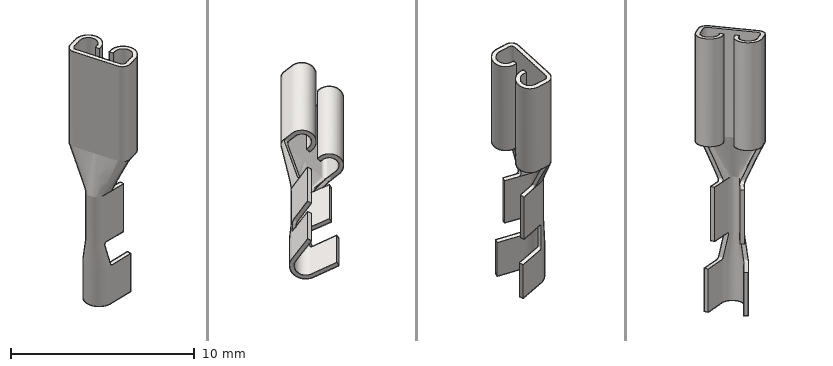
import cadquery as cq
import math

sheet = 0.26

total_height = 16.13
receptacle_bottom = 9.79
wire_top = 7.27
wire_bottom = 4.08
insulation_top = 2.55

half_width = 1.87
back_y = 0.52
front_y = 2.4
corner_radius = 0.48
curl_radius = 0.782
curl_tip_y = 1.47

wire_radius = 0.58
wire_lean = 15.0
wire_tip_y = 1.92
insulation_radius = 0.89
insulation_lean = 14.0
insulation_tip_y = 2.21

upper_edge_y = 1.0
lower_edge_y_top = 0.45
lower_edge_y_bottom = 0.68
window_fillet = 0.2
lower_fillet = 0.13
neck_margin = 0.32
strip_half_width = 0.15
bend_end_angle = 60.0
strip_angle = 28.0


def trace(outline, chain):
    """Add (kind, points) edges; an arc has a middle point and an end point."""
    for kind, points in chain:
        if kind == "arc":
            outline = outline.threePointArc(*points)
        else:
            outline = outline.lineTo(*points)
    return outline


def on_circle(radius, center, angle):
    """Point on a circle, with the angle measured from its lowest point."""
    a = math.radians(angle)
    return (center[0] + radius * math.sin(a), center[1] - radius * math.cos(a))


def arc(radius, center, start, end):
    middle = on_circle(radius, center, (start + end) / 2)
    return ("arc", (middle, on_circle(radius, center, end)))


def barrel_section(work, radius, lean, tip_y):
    """U-shaped section; back arcs are split to pair with the edges of the receptacle."""
    center = (0, radius)
    inner_radius = radius - sheet
    slope = math.radians(lean)
    wing_start = on_circle(radius, center, 90 - lean)
    outer_tip = (wing_start[0] + (tip_y - wing_start[1]) * math.tan(slope), tip_y)
    inner_tip = (outer_tip[0] - sheet * math.cos(slope), tip_y + sheet * math.sin(slope))
    half = [0, strip_angle, bend_end_angle, 90 - lean]
    angles = [-a for a in reversed(half)] + half[1:]
    spans = list(zip(angles, angles[1:]))
    outer = [arc(radius, center, a, b) for a, b in spans]
    inner = [arc(inner_radius, center, b, a) for a, b in reversed(spans)]
    outline = work.moveTo(-outer_tip[0], outer_tip[1]).lineTo(-wing_start[0], wing_start[1])
    outline = trace(outline, outer).lineTo(*outer_tip).lineTo(*inner_tip)
    outline = outline.lineTo(*on_circle(inner_radius, center, 90 - lean))
    return trace(outline, inner).lineTo(-inner_tip[0], inner_tip[1]).close()


def receptacle_root_section(work, tip_y):
    """Lower part of the receptacle section, with the same edges as a barrel section."""
    def face_edges(offset):
        radius = corner_radius - offset
        center_x = half_width - corner_radius
        center_y = back_y + corner_radius
        flat = [-strip_half_width, 0, strip_half_width, center_x]
        edges = [arc(radius, (-center_x, center_y), -90, 0)]
        edges += [("line", (x, back_y + offset)) for x in flat]
        return edges + [arc(radius, (center_x, center_y), 0, 90)]

    def reversed_edges(edges, start):
        """The same edges run from right to left."""
        starts = [start] + [points[-1] if kind == "arc" else points for kind, points in edges]
        flipped = []
        for (kind, points), begin in zip(reversed(edges), reversed(starts[:-1])):
            flipped.append((kind, (points[0], begin) if kind == "arc" else begin))
        return flipped

    bend_y = back_y + corner_radius
    inner_x = half_width - sheet
    outline = work.moveTo(-half_width, tip_y).lineTo(-half_width, bend_y)
    outline = trace(outline, face_edges(0)).lineTo(half_width, tip_y).lineTo(inner_x, tip_y)
    outline = outline.lineTo(inner_x, bend_y)
    outline = trace(outline, reversed_edges(face_edges(sheet), (-inner_x, bend_y)))
    return outline.lineTo(-inner_x, tip_y).close()


def receptacle():
    """Flat back, rounded corners, and side walls curled inward at the front."""
    curl_x = half_width - curl_radius
    curl_y = front_y - curl_radius
    inner_x = half_width - sheet
    inner_curl = curl_radius - sheet
    corner = (half_width - corner_radius, back_y + corner_radius)
    inner_corner = corner_radius - sheet
    right_half = [
        ("line", (corner[0], back_y)),
        arc(corner_radius, corner, 0, 90),
        ("line", (half_width, curl_y)),
        arc(curl_radius, (curl_x, curl_y), 90, 270),
        ("line", (curl_x - curl_radius, curl_tip_y)),
        ("line", (curl_x - inner_curl, curl_tip_y)),
        ("line", (curl_x - inner_curl, curl_y)),
        arc(inner_curl, (curl_x, curl_y), 270, 90),
        ("line", (inner_x, corner[1])),
        arc(inner_corner, corner, 90, 0),
        ("line", (0, back_y + sheet)),
    ]
    work = cq.Workplane("XY").workplane(offset=receptacle_bottom).moveTo(0, back_y)
    half = trace(work, right_half).close().extrude(total_height - receptacle_bottom)
    return half.union(half.mirror("YZ"))


def barrel(radius, lean, tip_y, bottom, top):
    work = cq.Workplane("XY").workplane(offset=bottom)
    return barrel_section(work, radius, lean, tip_y).extrude(top - bottom)


def edge_trim(bottom, top, edge_y_bottom, edge_y_top, fillet):
    """Cutter that shapes the free edges of a neck, with rounded ends."""
    corners = [(edge_y_bottom, bottom), (edge_y_top, top), (front_y, top), (front_y, bottom)]
    block = cq.Workplane("YZ").polyline(corners).close().extrude(half_width, both=True)
    middle_y = (max(edge_y_bottom, edge_y_top) + front_y) / 2
    free_edge_box = ((-half_width, 0, 0), (half_width, middle_y, total_height))
    return block.edges("|X").edges(cq.selectors.BoxSelector(*free_edge_box)).fillet(fillet)


def upper_neck():
    tip_y = upper_edge_y + neck_margin
    base = cq.Workplane("XY").workplane(offset=wire_top)
    base = barrel_section(base, wire_radius, wire_lean, tip_y)
    both_ends = base.workplane(offset=receptacle_bottom - wire_top)
    neck = receptacle_root_section(both_ends, tip_y).loft(ruled=True)
    return neck.cut(edge_trim(wire_top, receptacle_bottom, upper_edge_y, upper_edge_y, window_fillet))


def lower_neck():
    base = cq.Workplane("XY").workplane(offset=insulation_top)
    base = barrel_section(base, insulation_radius, insulation_lean, lower_edge_y_bottom + neck_margin)
    both_ends = base.workplane(offset=wire_bottom - insulation_top)
    neck = barrel_section(both_ends, wire_radius, wire_lean, lower_edge_y_top + neck_margin)
    neck = neck.loft(ruled=True)
    trim = edge_trim(insulation_top, wire_bottom, lower_edge_y_bottom, lower_edge_y_top, lower_fillet)
    return neck.cut(trim)


result = (
    receptacle()
    .union(upper_neck())
    .union(barrel(wire_radius, wire_lean, wire_tip_y, wire_bottom, wire_top))
    .union(lower_neck())
    .union(barrel(insulation_radius, insulation_lean, insulation_tip_y, 0, insulation_top))
)